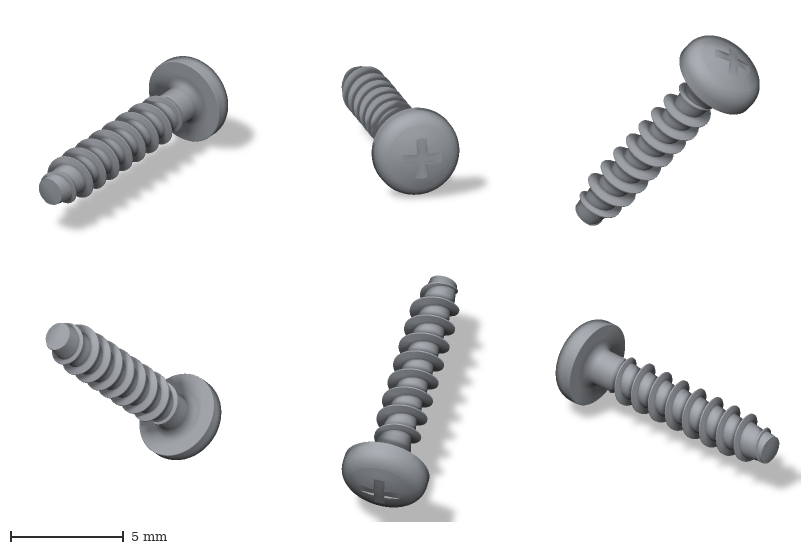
import cadquery as cq
import math


overall_length = 11.47
head_height = 1.47
head_radius = 1.95
rim_height = 0.42
dome_radius = 3.41
rim_edge_fillet = 0.03

recess_width = 0.48
recess_depth = 0.11

shank_length = overall_length - head_height
shank_radius = 0.8
neck_fillet = 0.34
plain_shank_end = 1.1
core_radius = 0.63
core_start = 1.84
tip_cone_height = 0.03
tip_cone_radius = 0.57
tip_edge = shank_length - tip_cone_height

counted_turns = 7
counted_turns_length = 6.86
pitch = counted_turns_length / counted_turns
crest_on_x_axis = 2.39
crest_radius = 1.1
crest_half_width = 0.029
flank_slope = 0.29
ramp_top_radius = 0.77
ramp_slope = 0.15
ramp_end_offset = 0.95
buried_radius = 0.46
points_per_turn = 16
max_turns_per_piece = 1

thread_stations = [
    (0.93, 0.85, ramp_top_radius),
    (2.06, crest_radius, ramp_top_radius),
    (8.56, crest_radius, ramp_top_radius),
    (8.98, 0.96, ramp_top_radius),
    (9.98, 0.64, 0.6),
]


def make_head():
    """Pan head: bearing face, straight rim, small shoulder arc and large dome arc."""
    corner_reach = recess_width / math.sqrt(2)
    corner_sag = dome_radius - math.sqrt(dome_radius**2 - corner_reach**2)
    apex = -head_height - corner_sag
    dome_center = apex + dome_radius

    rise = dome_center + rim_height
    shoulder_radius = (dome_radius**2 - head_radius**2 - rise**2) / (2 * (dome_radius - head_radius))
    shoulder_center = head_radius - shoulder_radius
    tilt = math.atan2(shoulder_center, rise)

    def dome_point(angle):
        return dome_radius * math.sin(angle), dome_center - dome_radius * math.cos(angle)

    shoulder_angle = (tilt + math.pi / 2) / 2
    shoulder_mid = (
        shoulder_center + shoulder_radius * math.sin(shoulder_angle),
        -rim_height - shoulder_radius * math.cos(shoulder_angle),
    )
    head = (
        cq.Workplane("XZ")
        .lineTo(head_radius, 0)
        .lineTo(head_radius, -rim_height)
        .threePointArc(shoulder_mid, dome_point(tilt))
        .threePointArc(dome_point(tilt / 2), (0, apex))
        .close()
        .revolve(360, (0, 0), (0, 1))
    )
    return head.faces(">Z").edges().fillet(rim_edge_fillet)


def make_recess():
    """Two crossing slots with a flat floor that run out through the dome."""
    slot_length = 2 * head_radius
    slot_height = 2 * recess_depth
    slot = cq.Workplane("XY").box(slot_length, recess_width, slot_height)
    cross = slot.union(slot.rotate((0, 0, 0), (0, 0, 1), 90))
    return cross.translate((0, 0, -head_height))


def make_shank():
    """Neck fillet, plain shank, core and shallow conical tip."""
    fillet_mid = neck_fillet * (1 - math.sqrt(0.5))
    return (
        cq.Workplane("XZ")
        .moveTo(0, -rim_height)
        .lineTo(shank_radius + neck_fillet, -rim_height)
        .lineTo(shank_radius + neck_fillet, 0)
        .threePointArc((shank_radius + fillet_mid, fillet_mid), (shank_radius, neck_fillet))
        .lineTo(shank_radius, plain_shank_end)
        .lineTo(core_radius, core_start)
        .lineTo(core_radius, tip_edge)
        .lineTo(tip_cone_radius, tip_edge)
        .lineTo(0, shank_length)
        .close()
        .revolve(360, (0, 0), (0, 1))
    )


def thread_profile(crest, ramp_top):
    """Corners (radius, axial offset from the crest) of the tooth and the core ramp behind it."""
    def flank_offset(radius):
        return crest_half_width + flank_slope * (crest - radius)

    ramp_end = ramp_top - ramp_slope * (ramp_end_offset - flank_offset(ramp_top))
    return [
        (buried_radius, -flank_offset(buried_radius)),
        (crest, -crest_half_width),
        (crest, crest_half_width),
        (ramp_top, flank_offset(ramp_top)),
        (ramp_end, ramp_end_offset),
        (buried_radius, ramp_end_offset),
    ]


def station_between(start, end, fraction):
    """Thread station interpolated between two others."""
    return tuple(a + (b - a) * fraction for a, b in zip(start, end))


def helix_edges(start, end):
    """One helical edge per profile corner between two thread stations."""
    steps = math.ceil(points_per_turn * (end[0] - start[0]) / pitch)
    paths = [[] for _ in thread_profile(*start[1:])]
    for step in range(steps + 1):
        height, crest, ramp_top = station_between(start, end, step / steps)
        angle = 2 * math.pi * (height - crest_on_x_axis) / pitch
        for path, (radius, offset) in zip(paths, thread_profile(crest, ramp_top)):
            path.append(cq.Vector(radius * math.cos(angle), radius * math.sin(angle), height + offset))
    return [cq.Edge.makeSpline(path) for path in paths]


def end_cap(edges, position):
    """Flat face across the thread body at one end of its helical edges."""
    corners = [edge.positionAt(position) for edge in edges]
    return cq.Face.makeFromWires(cq.Wire.makePolygon(corners, close=True))


def make_thread_piece(start, end):
    """Solid stretch of tooth and core ramp between two stations."""
    edges = helix_edges(start, end)
    sides = [cq.Face.makeRuledSurface(a, b) for a, b in zip(edges, edges[1:] + edges[:1])]
    shell = cq.Shell.makeShell(sides + [end_cap(edges, 0), end_cap(edges, 1)])
    return cq.Workplane(cq.Solid.makeSolid(shell))


def add_thread(shank):
    """Join the thread to the shank, trimmed between the plain shank and the tip edge."""
    limits = (
        cq.Workplane("XY", origin=(0, 0, plain_shank_end))
        .circle(head_radius)
        .extrude(tip_edge - plain_shank_end)
    )
    for start, end in zip(thread_stations, thread_stations[1:]):
        pieces = math.ceil((end[0] - start[0]) / (pitch * max_turns_per_piece))
        for piece in range(pieces):
            piece_start = station_between(start, end, piece / pieces)
            piece_end = station_between(start, end, (piece + 1) / pieces)
            shank = shank.union(make_thread_piece(piece_start, piece_end).intersect(limits))
    return shank


screw = make_head().cut(make_recess()).union(add_thread(make_shank()))

result = screw.rotate((0, 0, 0), (1, 0, 0), 90).solids()